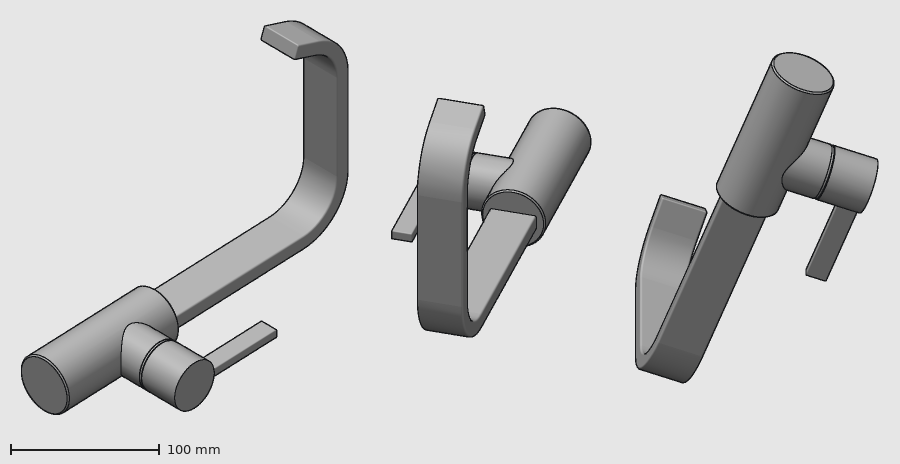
import cadquery as cq
import math

BARREL_RADIUS = 22.5
BARREL_LENGTH = 107.5
BARREL_CHAMFER = 1.0

CONTROL_Y = 70.0
CONTROL_RADIUS = 19.2
BRANCH_END_X = 39.8
SPACER_LENGTH = 1.7
SPACER_RADIUS = CONTROL_RADIUS - 0.3
KNOB_START_X = BRANCH_END_X + SPACER_LENGTH
KNOB_END_X = 72.8
KNOB_CHAMFER = 0.5

LEVER_WIDTH = 14.7
LEVER_THICKNESS = 6.7
LEVER_END_Y = 150.0
LEVER_EDGE_FILLET = 0.8

SPOUT_WIDTH = 32.5
SPOUT_THICKNESS = 11.0
SPOUT_EDGE_FILLET = 1.5
SPOUT_TIP_FILLET = 0.8
SPOUT_BACK_Y = 278.0
BEND_OUTER_RADIUS = 43.6
BEND_RADIUS = BEND_OUTER_RADIUS - SPOUT_THICKNESS / 2
UPPER_BEND_Z = 121.8
UPPER_BEND_ANGLE = math.radians(70)
TIP_LENGTH = 21.0


def x_cylinder(radius, start_x, end_x):
    """Cylinder on the control axis between two X positions."""
    return (
        cq.Workplane("YZ", origin=(start_x, CONTROL_Y, 0))
        .circle(radius)
        .extrude(end_x - start_x)
    )


def make_housing():
    barrel = (
        cq.Workplane("XZ")
        .circle(BARREL_RADIUS)
        .extrude(-BARREL_LENGTH)
        .faces("<Y or >Y")
        .chamfer(BARREL_CHAMFER)
    )
    return barrel.union(x_cylinder(CONTROL_RADIUS, 0, BRANCH_END_X))


def make_spacer():
    return x_cylinder(SPACER_RADIUS, BRANCH_END_X, KNOB_START_X)


def make_knob():
    knob = x_cylinder(CONTROL_RADIUS, KNOB_START_X, KNOB_END_X)
    return knob.faces("<X").chamfer(KNOB_CHAMFER)


def make_lever():
    """Bar from the control axis outward, trimmed to the round knob surface."""
    bar = (
        cq.Workplane("XY", origin=(KNOB_END_X - LEVER_WIDTH, CONTROL_Y, 0))
        .box(LEVER_WIDTH, LEVER_END_Y - CONTROL_Y, LEVER_THICKNESS, centered=(False, False, True))
        .edges("|Y or >Y")
        .fillet(LEVER_EDGE_FILLET)
    )
    return bar.cut(x_cylinder(CONTROL_RADIUS, KNOB_START_X, KNOB_END_X))


def bend_point(center_y, center_z, angle):
    """Centerline point on a bend; the angle is measured from +Y toward +Z."""
    return (
        center_y + BEND_RADIUS * math.cos(angle),
        center_z + BEND_RADIUS * math.sin(angle),
    )


def make_spout():
    bend_y = SPOUT_BACK_Y - BEND_OUTER_RADIUS
    upper_end = bend_point(bend_y, UPPER_BEND_Z, UPPER_BEND_ANGLE)
    tip = (
        upper_end[0] - TIP_LENGTH * math.sin(UPPER_BEND_ANGLE),
        upper_end[1] + TIP_LENGTH * math.cos(UPPER_BEND_ANGLE),
    )
    centerline = (
        cq.Workplane("YZ")
        .moveTo(BARREL_LENGTH, 0)
        .lineTo(bend_y, 0)
        .threePointArc(
            bend_point(bend_y, BEND_RADIUS, -math.pi / 4),
            bend_point(bend_y, BEND_RADIUS, 0),
        )
        .lineTo(bend_y + BEND_RADIUS, UPPER_BEND_Z)
        .threePointArc(bend_point(bend_y, UPPER_BEND_Z, UPPER_BEND_ANGLE / 2), upper_end)
        .lineTo(*tip)
    )
    section = (
        cq.Sketch()
        .rect(SPOUT_WIDTH, SPOUT_THICKNESS)
        .vertices()
        .fillet(SPOUT_EDGE_FILLET)
    )
    bar = (
        cq.Workplane("XZ", origin=(0, BARREL_LENGTH, 0))
        .placeSketch(section)
        .sweep(centerline)
    )
    tip_face = bar.faces(cq.selectors.NearestToPointSelector((0, *tip)))
    return tip_face.edges().fillet(SPOUT_TIP_FILLET)


housing = make_housing()
spacer = make_spacer()
knob = make_knob()
lever = make_lever()
spout = make_spout()

result = cq.Compound.makeCompound(
    [housing.val(), spacer.val(), knob.val(), lever.val(), spout.val()]
)